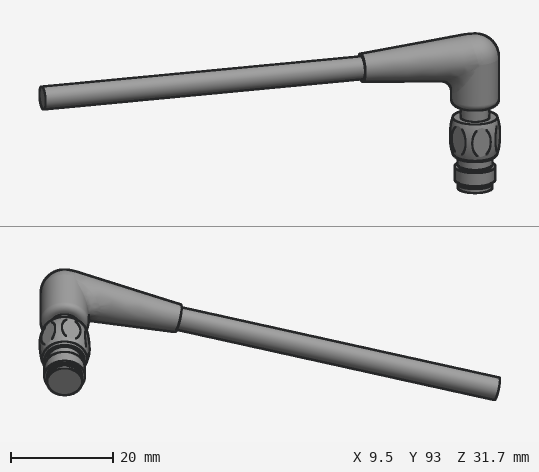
import cadquery as cq
import math

total_length = 92.95
nut_diameter = 9.9
cable_end_y = nut_diameter / 2 - total_length

housing_diameter = 9.5
housing_radius = housing_diameter / 2
total_height = 31.7
elbow_z = total_height - housing_radius
housing_bottom_z = 17.2
bottom_fillet = 1.3
elbow_fillet = 2.8
web_width = 9.1
web_height = 7.4

sleeve_rise = 0.1
sleeve_axis_z = elbow_z + sleeve_rise
sleeve_length = 23.05
sleeve_base_diameter = 9.6
sleeve_tip_diameter = 5.6

cable_diameter = 4.6

nut_bottom_z = 6.6
nut_top_z = 14.6
nut_end_diameter = 8.7
nut_bottom_chamfer = 0.5
nut_across_flats = 9.2
flat_count = 6

neck_diameter = 5.7
plug_diameter = 6.9
groove_diameter = 6.3
ring_diameter = 8.0
ring_bottom_z = 1.7
ring_top_z = 4.4
groove_height = 0.42
lip_height = 0.8


def cylinder(diameter, bottom_z, top_z):
    """Upright cylinder on the Z axis."""
    return cq.Workplane("XY").workplane(offset=bottom_z).circle(diameter / 2).extrude(top_z - bottom_z)


def along_cable(axis_z):
    """Workplane on the elbow axis whose normal points toward -Y."""
    return cq.Workplane("XZ", origin=(0, 0, axis_z))


def make_sleeve():
    """Cone flush with the elbow cylinder, so that it does not rise above the dome."""
    cone = (
        along_cable(sleeve_axis_z)
        .circle(sleeve_base_diameter / 2)
        .workplane(offset=sleeve_length)
        .circle(sleeve_tip_diameter / 2)
        .loft()
    )
    return cone.intersect(along_cable(elbow_z).circle(housing_radius).extrude(sleeve_length))


def make_corner_web():
    """Middle slice of the elbow with its inner corner filleted; the fillet fades out toward both sides."""
    slice_box = cq.Workplane("XY").box(web_width, 2 * sleeve_length, 2 * web_height).translate((0, 0, elbow_z))
    upright = cylinder(housing_diameter, elbow_z - web_height, elbow_z)
    elbow = upright.union(make_sleeve()).intersect(slice_box)
    inner_corner = cq.selectors.BoxSelector(
        (-housing_radius, -housing_radius, elbow_z - housing_radius),
        (housing_radius, -housing_radius / 2, elbow_z),
    )
    return elbow.edges(inner_corner).fillet(elbow_fillet)


def make_housing():
    """Upright cylinder with a domed top, joined to the sleeve by a fillet in the inner corner."""
    upright = cylinder(housing_diameter, housing_bottom_z, elbow_z)
    dome = cq.Workplane("XY").sphere(housing_radius).translate((0, 0, elbow_z))
    housing = upright.union(dome).union(make_sleeve())
    housing = housing.faces("<Z").edges().fillet(bottom_fillet)
    return housing.union(make_corner_web())


def make_cable():
    """Round cable that starts at the tip of the sleeve."""
    cable_length = -cable_end_y - sleeve_length
    sleeve_tip = along_cable(sleeve_axis_z).workplane(offset=sleeve_length)
    return sleeve_tip.circle(cable_diameter / 2).extrude(cable_length)


def make_nut():
    """Barrel with six flats, bored for the neck of the plug."""
    barrel_bottom_z = nut_bottom_z + nut_bottom_chamfer
    barrel_middle_z = (barrel_bottom_z + nut_top_z) / 2
    barrel = (
        cq.Workplane("XZ")
        .moveTo(0, nut_bottom_z)
        .lineTo(nut_end_diameter / 2 - nut_bottom_chamfer, nut_bottom_z)
        .lineTo(nut_end_diameter / 2, barrel_bottom_z)
        .threePointArc((nut_diameter / 2, barrel_middle_z), (nut_end_diameter / 2, nut_top_z))
        .lineTo(0, nut_top_z)
        .close()
        .revolve(360, (0, 0), (0, 1))
    )
    hexagon = (
        cq.Workplane("XY")
        .workplane(offset=nut_bottom_z)
        .transformed(rotate=(0, 0, 180 / flat_count))
        .polygon(flat_count, nut_across_flats / math.cos(math.pi / flat_count))
        .extrude(nut_top_z - nut_bottom_z)
    )
    return barrel.intersect(hexagon).cut(cylinder(neck_diameter, nut_bottom_z, nut_top_z))


def make_plug():
    """Neck through the nut, and below it the grooved plug end with its snap ring."""
    return (
        cylinder(neck_diameter, nut_bottom_z, housing_bottom_z)
        .union(cylinder(plug_diameter, ring_top_z + groove_height, nut_bottom_z))
        .union(cylinder(groove_diameter, ring_top_z, ring_top_z + groove_height))
        .union(cylinder(ring_diameter, ring_bottom_z, ring_top_z))
        .union(cylinder(plug_diameter, lip_height + groove_height, ring_bottom_z))
        .union(cylinder(groove_diameter, lip_height, lip_height + groove_height))
        .union(cylinder(plug_diameter, 0, lip_height))
    )


housing = make_housing()
cable = make_cable()
nut = make_nut()
plug = make_plug()

result = cq.Compound.makeCompound([housing.val(), cable.val(), nut.val(), plug.val()])